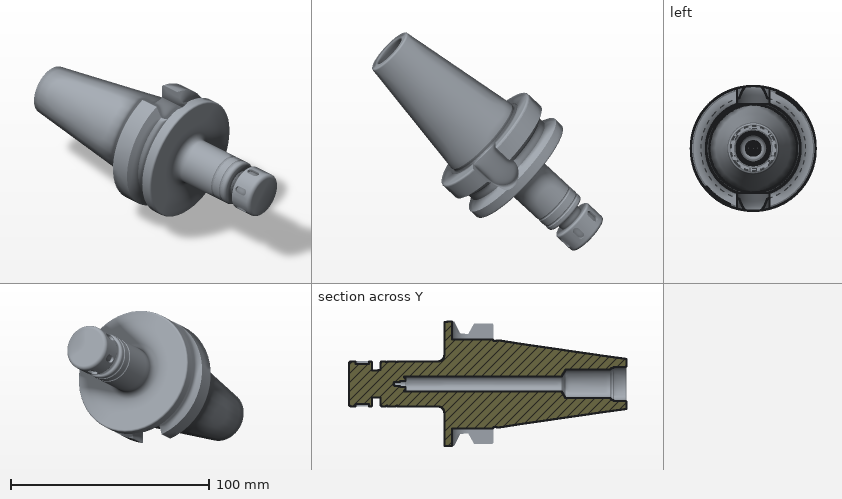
import cadquery as cq
import math

LENGTH = 140.4

GAUGE_RADIUS = 22.2
GAUGE_X = 65.1
TAPER_END_RADIUS = GAUGE_RADIUS - GAUGE_X * 7 / 24 / 2
TAPER_RIM_ROUND = 1.0
NECK_RADIUS = 21.8
NECK_X = 66.4

FLANGE_RADIUS = 63.0 / 2
FLANGE_START_X = 67.1
FLANGE_END_X = 92.2
FLANGE_FRONT_ROUND = 1.1
FLANGE_REAR_ROUND = 0.8
GROOVE_RADIUS = 26.4
GROOVE_START_X = 79.9
GROOVE_END_X = 84.0
GROOVE_FLANK_LENGTH = (FLANGE_RADIUS - GROOVE_RADIUS) / math.tan(math.radians(60))

RELIEF_RADIUS = 23.9
RELIEF_FLOOR_RADIUS = 23.6
RELIEF_DEPTH = 0.4
RELIEF_ROOT_ROUND = 0.8

SLOT_WIDTH = 16.1
SLOT_FLOOR_Z = 22.5
SLOT_END_X = 88.0

SHANK_RADIUS = 11.5
SHANK_ROOT_ROUND = 3.0
SHANK_END_X = 124.4
SHANK_END_ROUND = 1.3
RING_STARTS_X = (115.4, 120.5)
RING_WIDTH = 1.3
RING_ARC_RADIUS = 0.7

COLLET_COLLAR_X = 125.5
COLLET_COLLAR_RADIUS = 14.2 / 2
COLLET_RADIUS = 7.0
NUT_RADIUS = 11.5
NUT_START_X = 128.5
NUT_REAR_ROUND = 1.0
NUT_NOSE_ROUND = 1.7

WRENCH_SLOT_COUNT = 6
WRENCH_SLOT_WIDTH = 3.5
WRENCH_SLOT_LENGTH = 6.6
WRENCH_SLOT_CENTER_X = 133.5
WRENCH_SLOT_DEPTH = 1.4

PILOT_RADIUS = 17.0 / 2
PILOT_END_X = 6.5
THREAD_MAJOR_RADIUS = 8.0
THREAD_RELIEF_LENGTH = 0.7
THREAD_RADIUS = 14.2 / 2
THREAD_END_X = 30.9
COOLANT_RADIUS = 3.7
COOLANT_END_X = 112.3
DRILL_POINT_ANGLE = 118

SCREW_FACE_RADIUS = 5.8 / 2
SOCKET_MOUTH_RADIUS = 3.5 / 2
SOCKET_RADIUS = 3.0 / 2
SOCKET_DEPTH = 2.8
JET_RADIUS = 0.8
JET_LENGTH = 2.8


def make_body():
    """Revolve the outer outline of the holder about the X axis."""
    relief_floor_x = FLANGE_START_X + RELIEF_DEPTH
    outline = (
        cq.Workplane("XY")
        .lineTo(0, TAPER_END_RADIUS)
        .lineTo(GAUGE_X, GAUGE_RADIUS)
        .lineTo(NECK_X, NECK_RADIUS)
        .lineTo(relief_floor_x - RELIEF_ROOT_ROUND, NECK_RADIUS)
        .radiusArc((relief_floor_x, NECK_RADIUS + RELIEF_ROOT_ROUND), -RELIEF_ROOT_ROUND)
        .lineTo(relief_floor_x, RELIEF_FLOOR_RADIUS)
        .lineTo(FLANGE_START_X, RELIEF_RADIUS)
        .lineTo(FLANGE_START_X, FLANGE_RADIUS - FLANGE_FRONT_ROUND)
        .radiusArc((FLANGE_START_X + FLANGE_FRONT_ROUND, FLANGE_RADIUS), FLANGE_FRONT_ROUND)
        .lineTo(GROOVE_START_X - GROOVE_FLANK_LENGTH, FLANGE_RADIUS)
        .lineTo(GROOVE_START_X, GROOVE_RADIUS)
        .lineTo(GROOVE_END_X, GROOVE_RADIUS)
        .lineTo(GROOVE_END_X + GROOVE_FLANK_LENGTH, FLANGE_RADIUS)
        .lineTo(FLANGE_END_X - FLANGE_REAR_ROUND, FLANGE_RADIUS)
        .radiusArc((FLANGE_END_X, FLANGE_RADIUS - FLANGE_REAR_ROUND), FLANGE_REAR_ROUND)
        .lineTo(FLANGE_END_X, SHANK_RADIUS + SHANK_ROOT_ROUND)
        .radiusArc((FLANGE_END_X + SHANK_ROOT_ROUND, SHANK_RADIUS), -SHANK_ROOT_ROUND)
        .lineTo(RING_STARTS_X[0], SHANK_RADIUS)
        .radiusArc((RING_STARTS_X[0] + RING_WIDTH, SHANK_RADIUS), -RING_ARC_RADIUS)
        .lineTo(RING_STARTS_X[1], SHANK_RADIUS)
        .radiusArc((RING_STARTS_X[1] + RING_WIDTH, SHANK_RADIUS), -RING_ARC_RADIUS)
        .lineTo(SHANK_END_X - SHANK_END_ROUND, SHANK_RADIUS)
        .radiusArc((SHANK_END_X, SHANK_RADIUS - SHANK_END_ROUND), SHANK_END_ROUND)
        .lineTo(SHANK_END_X, COLLET_COLLAR_RADIUS)
        .lineTo(COLLET_COLLAR_X, COLLET_COLLAR_RADIUS)
        .lineTo(COLLET_COLLAR_X, COLLET_RADIUS)
        .lineTo(NUT_START_X, COLLET_RADIUS)
        .lineTo(NUT_START_X, NUT_RADIUS - NUT_REAR_ROUND)
        .radiusArc((NUT_START_X + NUT_REAR_ROUND, NUT_RADIUS), NUT_REAR_ROUND)
        .lineTo(LENGTH - NUT_NOSE_ROUND, NUT_RADIUS)
        .radiusArc((LENGTH, NUT_RADIUS - NUT_NOSE_ROUND), NUT_NOSE_ROUND)
        .lineTo(LENGTH, 0)
        .close()
    )
    return outline.revolve(360, (0, 0, 0), (1, 0, 0))


def drill_point_length(radial_step):
    """Axial length of a drill-point cone that narrows by the given radial step."""
    return radial_step / math.tan(math.radians(DRILL_POINT_ANGLE / 2))


def make_bore():
    """Revolve the stepped blind bore, leaving the screw end standing at its bottom."""
    relief_start_x = PILOT_END_X + PILOT_RADIUS - THREAD_MAJOR_RADIUS
    relief_end_x = relief_start_x + THREAD_RELIEF_LENGTH
    screw_face_x = COOLANT_END_X - (COOLANT_RADIUS - SCREW_FACE_RADIUS)
    socket_end_x = screw_face_x + SOCKET_DEPTH
    jet_end_x = socket_end_x + JET_LENGTH
    outline = (
        cq.Workplane("XY")
        .lineTo(0, PILOT_RADIUS)
        .lineTo(PILOT_END_X, PILOT_RADIUS)
        .lineTo(relief_start_x, THREAD_MAJOR_RADIUS)
        .lineTo(relief_end_x, THREAD_MAJOR_RADIUS)
        .lineTo(relief_end_x + THREAD_MAJOR_RADIUS - THREAD_RADIUS, THREAD_RADIUS)
        .lineTo(THREAD_END_X, THREAD_RADIUS)
        .lineTo(THREAD_END_X + drill_point_length(THREAD_RADIUS - COOLANT_RADIUS), COOLANT_RADIUS)
        .lineTo(COOLANT_END_X, COOLANT_RADIUS)
        .lineTo(screw_face_x, SCREW_FACE_RADIUS)
        .lineTo(screw_face_x, SOCKET_MOUTH_RADIUS)
        .lineTo(screw_face_x + SOCKET_MOUTH_RADIUS - SOCKET_RADIUS, SOCKET_RADIUS)
        .lineTo(socket_end_x, SOCKET_RADIUS)
        .lineTo(socket_end_x, JET_RADIUS)
        .lineTo(jet_end_x, JET_RADIUS)
        .lineTo(jet_end_x + drill_point_length(JET_RADIUS), 0)
        .close()
    )
    return outline.revolve(360, (0, 0, 0), (1, 0, 0))


def make_ring(start_x, width, inner_radius, outer_radius):
    """Make a plain ring about the X axis."""
    return (
        cq.Workplane("YZ", origin=(start_x, 0, 0))
        .circle(outer_radius)
        .circle(inner_radius)
        .extrude(width)
    )


def make_drive_slot():
    """Make the cutter for the top drive slot: open to the taper side, with a round inner end."""
    end_radius = SLOT_WIDTH / 2
    straight_end_x = SLOT_END_X - end_radius
    return (
        cq.Workplane("XY", origin=(0, 0, SLOT_FLOOR_Z))
        .moveTo(GAUGE_X, -end_radius)
        .lineTo(straight_end_x, -end_radius)
        .threePointArc((SLOT_END_X, 0), (straight_end_x, end_radius))
        .lineTo(GAUGE_X, end_radius)
        .close()
        .extrude(FLANGE_RADIUS - SLOT_FLOOR_Z)
    )


def make_wrench_slot():
    """Make the cutter for the wrench slot at the top of the nut; its floor follows the nut."""
    stadium = (
        cq.Workplane("XY")
        .center(WRENCH_SLOT_CENTER_X, 0)
        .slot2D(WRENCH_SLOT_LENGTH, WRENCH_SLOT_WIDTH)
        .extrude(2 * NUT_RADIUS)
    )
    shell = make_ring(NUT_START_X, LENGTH - NUT_START_X, NUT_RADIUS - WRENCH_SLOT_DEPTH, 2 * NUT_RADIUS)
    return stadium.intersect(shell)


holder = make_body().cut(make_bore())

end_rims = holder.faces("<X").edges()
holder = end_rims.fillet(TAPER_RIM_ROUND)

drive_slot = make_drive_slot()
for angle in (0, 180):
    holder = holder.cut(drive_slot.rotate((0, 0, 0), (1, 0, 0), angle))

wrench_slot = make_wrench_slot()
for index in range(WRENCH_SLOT_COUNT):
    angle = index * 360 / WRENCH_SLOT_COUNT
    holder = holder.cut(wrench_slot.rotate((0, 0, 0), (1, 0, 0), angle))

result = holder